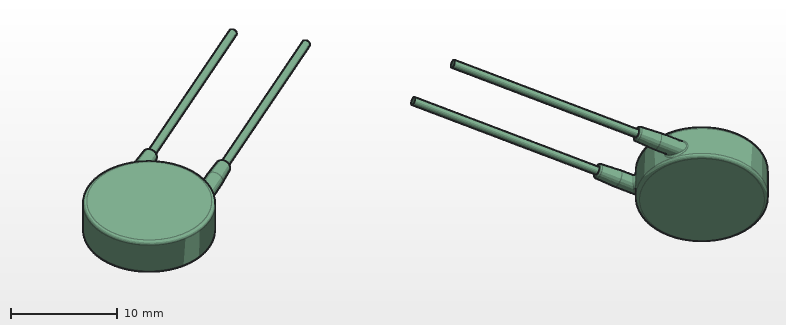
import cadquery as cq

disc_diameter = 12.5
disc_height = 3.8
edge_radius = 0.35

overall_length = 35.5
lead_spacing = 7.5
lead_height_step = 1.0
wire_diameter = 0.8
wire_exposed_length = 20.02

sleeve_diameter = 1.67
sleeve_tip_diameter = 1.45
sleeve_taper_length = 2.2
sleeve_tip_radius = 0.15
sleeve_root_fillet = 0.18

wire_end_y = overall_length - disc_diameter / 2
sleeve_end_y = wire_end_y - wire_exposed_length
taper_start_y = sleeve_end_y - sleeve_taper_length
lead_start_y = 0.0


def make_disc():
    """Round body with rounded top and bottom rims."""
    disc = cq.Workplane("XY").cylinder(disc_height, disc_diameter / 2)
    return disc.faces("|Z").edges().fillet(edge_radius)


def make_lead(x, z):
    """Wire and tapered sleeve, revolved about a Y-parallel axis through (x, z)."""
    profile = (
        cq.Workplane("XY")
        .moveTo(0, lead_start_y)
        .lineTo(sleeve_diameter / 2, lead_start_y)
        .lineTo(sleeve_diameter / 2, taper_start_y)
        .lineTo(sleeve_tip_diameter / 2, sleeve_end_y - sleeve_tip_radius)
        .radiusArc((sleeve_tip_diameter / 2 - sleeve_tip_radius, sleeve_end_y), -sleeve_tip_radius)
        .lineTo(wire_diameter / 2, sleeve_end_y)
        .lineTo(wire_diameter / 2, wire_end_y)
        .lineTo(0, wire_end_y)
        .close()
    )
    return profile.revolve(360, (0, 0, 0), (0, 1, 0)).translate((x, 0, z))


def fillet_sleeve_root(body, x, z):
    """Blend the sleeve at (x, z) into the side wall of the disc."""
    reach = sleeve_diameter / 2 + sleeve_root_fillet
    root_edges = cq.selectors.BoxSelector(
        (x - reach, lead_start_y, z - reach),
        (x + reach, disc_diameter / 2, z + reach),
        boundingbox=True,
    )
    return body.edges(root_edges).fillet(sleeve_root_fillet)


result = make_disc()
for side in (-1, 1):
    lead_x = side * lead_spacing / 2
    lead_z = side * lead_height_step / 2
    result = result.union(make_lead(lead_x, lead_z))
    result = fillet_sleeve_root(result, lead_x, lead_z)